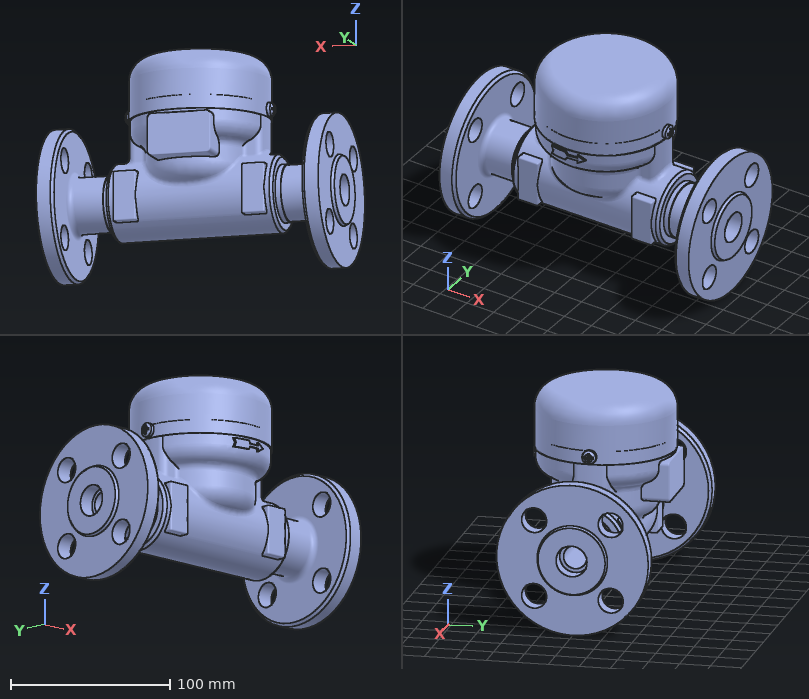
import cadquery as cq
import math

TOLERANCE = 0.02

face_x = 95.0

flange_diameter = 98.0
flange_outer_x = 93.0
flange_back_x = 81.7
flange_chamfer = 1.9
raised_face_diameter = 43.3
raised_base_diameter = 45.5
pipe_diameter = 36.0
pipe_fillet = 3.8
collar_diameter = 37.0
collar_length = 3.6
bolt_hole_diameter = 16.0
bolt_offset = 24.7
socket_diameter = 20.0
socket_depth = 10.0
bore_diameter = 15.0
bore_depth = 47.5

barrel_diameter = 50.0
barrel_half_length = 55.0
barrel_end_chamfer = 1.9
blend_radius = 3.8

pad_x = 42.4
pad_width = 15.2
pad_height = 32.1
pad_face_y = 25.3
pad_fillet = 1.1

neck_radius = 34.5
neck_bottom_fillet = 11.4
neck_bottom_z = 6.5
neck_top_z = 28.1
bowl_diameter = 88.5
bowl_radius = bowl_diameter / 2
bowl_under_z = 33.0
bowl_side_z = 42.5
bowl_blend_angle = 2 * math.atan((bowl_radius - neck_radius) / (bowl_side_z - neck_top_z))

column_width = 24.3
column_corner = 5.1

boss_width = 41.8
boss_face_y = 45.8
boss_bottom_z = 20.3
boss_top_z = 47.3
boss_corner = 3.0
boss_edge_fillet = 0.8

arrow_z = 44.6
arrow_half_length = 12.5
arrow_head_x = 7.2
arrow_tail_step_x = 0.0
arrow_half_height = 2.8
arrow_shaft_half_height = 1.0
arrow_slope = 1.3
arrow_notch = 1.3
arrow_outer_radius = 45.5

cover_diameter = 90.0
cover_radius = cover_diameter / 2
cover_bottom_z = 49.4
overall_height = 139.0
cover_top_z = overall_height - flange_diameter / 2
cover_top_fillet = 15.0
spigot_top_z = 58.1

screw_diameter = 9.0
screw_z = 54.5
screw_rim_x = 47.1
screw_top_x = 48.8
screw_top_diameter = 5.0
recess_length = 5.7
recess_width = 1.1
recess_depth = 1.0


def rod_x(diameter, x_start, x_end):
    """Round bar on the pipe axis."""
    return cq.Workplane("YZ", origin=(x_start, 0, 0)).circle(diameter / 2).extrude(x_end - x_start)


def disc_z(radius, z_start, z_end):
    """Round bar on the vertical axis of the bowl."""
    return cq.Workplane("XY", origin=(0, 0, z_start)).circle(radius).extrude(z_end - z_start)


def make_end_fitting():
    """Flange, pipe and collar at the +X end."""
    raised_face = (
        cq.Workplane("XY")
        .moveTo(flange_outer_x, 0)
        .lineTo(flange_outer_x, raised_base_diameter / 2)
        .lineTo(face_x, raised_face_diameter / 2)
        .lineTo(face_x, 0)
        .close()
        .revolve(360, (0, 0, 0), (1, 0, 0))
    )
    flange = rod_x(flange_diameter, flange_back_x, flange_outer_x).faces("<X").edges().chamfer(flange_chamfer)
    pipe = rod_x(pipe_diameter, barrel_half_length, flange_back_x)
    fitting = flange.union(pipe)
    root = [
        edge
        for edge in fitting.edges("%CIRCLE").vals()
        if abs(edge.radius() - pipe_diameter / 2) < TOLERANCE
        and abs(edge.Center().x - flange_back_x) < TOLERANCE
    ]
    fitting = fitting.newObject(root).fillet(pipe_fillet)
    collar = rod_x(collar_diameter, barrel_half_length, barrel_half_length + collar_length)
    bolt_holes = (
        cq.Workplane("YZ", origin=(flange_back_x, 0, 0))
        .rect(2 * bolt_offset, 2 * bolt_offset, forConstruction=True)
        .vertices()
        .circle(bolt_hole_diameter / 2)
        .extrude(flange_outer_x - flange_back_x)
    )
    return fitting.union(raised_face).union(collar).cut(bolt_holes)


def make_columns():
    """Both uprights as one bar through the neck, with round outer faces."""
    return (
        cq.Workplane("XY")
        .rect(2 * cover_radius, column_width)
        .extrude(cover_bottom_z)
        .intersect(disc_z(cover_radius, 0, cover_bottom_z))
        .edges("|Z")
        .fillet(column_corner)
    )


def is_junction(edge):
    """True for edges where an upright meets the barrel and where a column meets the neck."""
    middle = edge.positionAt(1 / 2)
    start = edge.startPoint()
    if edge.Length() > barrel_half_length:
        return False
    on_barrel = all(
        abs(math.hypot(point.y, point.z) - barrel_diameter / 2) < TOLERANCE for point in (start, middle)
    )
    upright_on_neck = (
        edge.geomType() == "LINE"
        and abs(middle.x - start.x) < TOLERANCE
        and abs(math.hypot(middle.x, middle.y) - neck_radius) < TOLERANCE
    )
    return on_barrel or upright_on_neck


def make_lower_body():
    """Barrel, neck and columns with their blended junctions."""
    barrel = rod_x(barrel_diameter, -barrel_half_length, barrel_half_length)
    neck = disc_z(neck_radius, neck_bottom_z, cover_bottom_z).faces("<Z").edges().fillet(neck_bottom_fillet)
    lower = barrel.union(neck.union(make_columns()))
    junctions = [edge for edge in lower.edges().vals() if is_junction(edge)]
    lower = lower.newObject(junctions).fillet(blend_radius)
    return lower.faces("<X or >X").edges("%CIRCLE").chamfer(barrel_end_chamfer)


def make_bowl():
    """Bowl wall: straight side, rounded underside and hollow blend into the neck."""
    under_drop = bowl_side_z - bowl_under_z
    round_radius = under_drop / math.sin(bowl_blend_angle)
    hollow_radius = (bowl_under_z - neck_top_z) / math.sin(bowl_blend_angle)
    half_angle = bowl_blend_angle / 2
    round_middle = (
        bowl_radius - round_radius * (1 - math.cos(half_angle)),
        bowl_side_z - round_radius * math.sin(half_angle),
    )
    round_end = (bowl_radius - round_radius * (1 - math.cos(bowl_blend_angle)), bowl_under_z)
    hollow_middle = (
        neck_radius + hollow_radius * (1 - math.cos(half_angle)),
        neck_top_z + hollow_radius * math.sin(half_angle),
    )
    return (
        cq.Workplane("XZ")
        .moveTo(0, neck_top_z)
        .lineTo(0, cover_bottom_z)
        .lineTo(bowl_radius, cover_bottom_z)
        .lineTo(bowl_radius, bowl_side_z)
        .threePointArc(round_middle, round_end)
        .threePointArc(hollow_middle, (neck_radius, neck_top_z))
        .close()
        .revolve(360, (0, 0, 0), (0, 1, 0))
    )


def make_wrench_pad(side_x, side_y):
    """Flat-faced pad on the barrel; the sides are +1 or -1 along X and Y."""
    return (
        cq.Workplane("XY")
        .box(pad_width, pad_face_y, pad_height)
        .edges("|Y or >Y" if side_y > 0 else "|Y or <Y")
        .fillet(pad_fillet)
        .translate((side_x * pad_x, side_y * pad_face_y / 2, 0))
    )


def make_plate_boss():
    """Boss for a name plate, standing out at the back of the bowl."""
    height = boss_top_z - boss_bottom_z
    return (
        cq.Workplane("XY")
        .box(boss_width, boss_face_y, height)
        .edges("|Y")
        .fillet(boss_corner)
        .faces(">Y")
        .edges()
        .fillet(boss_edge_fillet)
        .translate((0, boss_face_y / 2, boss_bottom_z + height / 2))
    )


def make_flow_arrow():
    """Raised arrow on the front of the bowl, pointing along +X."""
    outline = [
        (-arrow_half_length, arrow_half_height),
        (arrow_tail_step_x - arrow_slope, arrow_half_height),
        (arrow_tail_step_x, arrow_shaft_half_height),
        (arrow_head_x, arrow_shaft_half_height),
        (arrow_head_x, arrow_half_height),
        (arrow_half_length, 0),
        (arrow_head_x, -arrow_half_height),
        (arrow_head_x, -arrow_shaft_half_height),
        (arrow_tail_step_x, -arrow_shaft_half_height),
        (arrow_tail_step_x - arrow_slope, -arrow_half_height),
        (-arrow_half_length, -arrow_half_height),
        (-arrow_half_length + arrow_notch, 0),
    ]
    prism = cq.Workplane("XZ", origin=(0, 0, arrow_z)).polyline(outline).close().extrude(arrow_outer_radius)
    return prism.intersect(disc_z(arrow_outer_radius, bowl_under_z, cover_bottom_z))


def make_body():
    """One-piece body: barrel, bowl, flanged ends, pads, boss and bores."""
    body = make_lower_body().union(make_bowl()).union(disc_z(bowl_radius, cover_bottom_z, spigot_top_z))
    body = body.union(make_plate_boss()).union(make_flow_arrow())
    end_fitting = make_end_fitting()
    body = body.union(end_fitting).union(end_fitting.mirror("YZ"))
    for side_x in (-1, 1):
        for side_y in (-1, 1):
            body = body.union(make_wrench_pad(side_x, side_y))
        body = body.cut(rod_x(socket_diameter, side_x * (face_x - socket_depth), side_x * face_x))
        body = body.cut(rod_x(bore_diameter, side_x * (face_x - bore_depth), side_x * face_x))
    return body


def make_cover():
    """Domed cover with a recess that fits over the spigot."""
    cover = disc_z(cover_radius, cover_bottom_z, cover_top_z).faces(">Z").edges().fillet(cover_top_fillet)
    return cover.cut(disc_z(bowl_radius, cover_bottom_z, spigot_top_z))


def make_screw(side):
    """Tapered cross-recessed screw head seated on the cover; side is +1 or -1 along X."""
    screw_radius = screw_diameter / 2
    head = (
        cq.Workplane("XY")
        .moveTo(bowl_radius, 0)
        .lineTo(bowl_radius, screw_radius)
        .lineTo(screw_rim_x, screw_radius)
        .lineTo(screw_top_x, screw_top_diameter / 2)
        .lineTo(screw_top_x, 0)
        .close()
        .revolve(360, (0, 0, 0), (1, 0, 0))
    )
    for width, length in ((recess_width, recess_length), (recess_length, recess_width)):
        slot = cq.Workplane("XY").box(2 * recess_depth, width, length).translate((screw_top_x, 0, 0))
        head = head.cut(slot)
    head = head.translate((0, 0, screw_z)).cut(disc_z(cover_radius, cover_bottom_z, cover_top_z))
    return head if side > 0 else head.mirror("YZ")


body = make_body().solids()
cover = make_cover().solids()
screws = [make_screw(side).solids() for side in (-1, 1)]

result = cq.Compound.makeCompound([body.val(), cover.val(), *[screw.val() for screw in screws]])